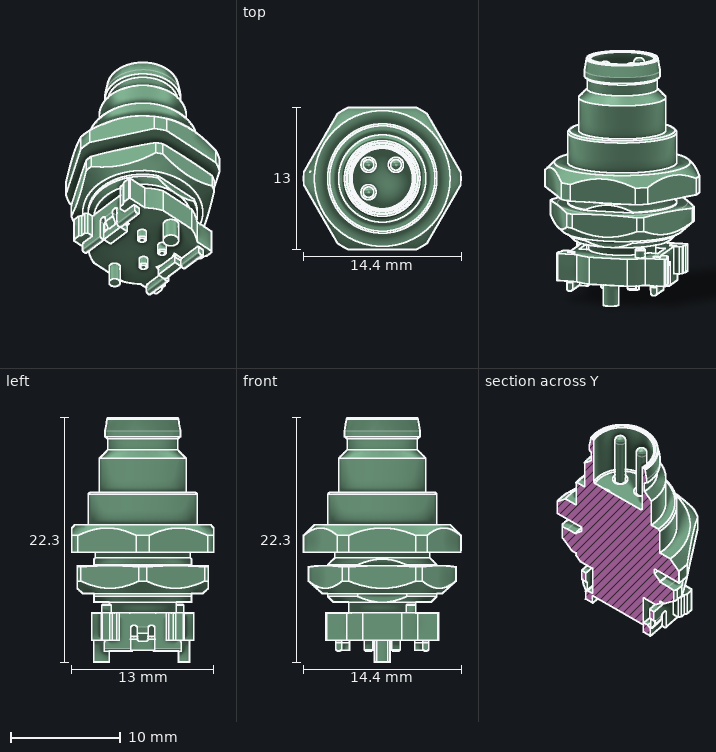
import cadquery as cq
import math

TOP_Z = 22.3
SEAT_Z = 12.55
COLLAR_BOTTOM_Z = 10.01
LIP_R = 3.45
LIP_BOTTOM_Z = 20.58
LIP_TAPER_Z = 21.15
LIP_TAPER_R = 3.28
RIM_R = 3.21
RIM_EDGE = 0.11
GROOVE_TOP_Z = 20.38
BARREL_R = 4.0
BARREL_TOP_Z = 18.6
BARREL_BEVEL = BARREL_R - RIM_R
SHOULDER_TOP_Z = 15.52
SHOULDER_BEVEL = 0.18
THREAD_R = 5.0
THREAD_BOTTOM_Z = 5.49
THREAD_BOTTOM_BEVEL = 0.51
THREAD_TOP_Z = 8.88
RELIEF_R = 4.35
THREAD_FLAT_Y = 4.45

BORE_R = 2.9
BORE_MOUTH_R = 3.03
BORE_MOUTH_DEPTH = 0.1
INSERT_R = 2.77
INSERT_BEVEL_HEIGHT = 0.13
BORE_FLOOR_Z = 16.72
CONTACT_TIP_Z = 22.1
CONTACT_R = 0.5
CONTACT_TIP_ROUND = 0.42
CONTACT_OFFSET = 1.25
CONTACT_SINK_R = 0.7
CONTACT_SINK_DEPTH = 0.13
TAIL_R = 0.4
TAIL_BOTTOM_Z = 1.0
TAIL_CHAMFER = 0.13

COLLAR_FLATS = 13.0
COLLAR_WIDTH = 14.38
COLLAR_CORNER_R = COLLAR_WIDTH / 2
COLLAR_FACE_R = 6.2
NUT_FLATS = 12.0
NUT_CORNER_R = 6.73
NUT_TOP_Z = 8.8
NUT_TOP_FACE_R = 5.93
NUT_TOP_BEVEL = 0.11
NUT_BOTTOM_Z = 6.27
NUT_BOTTOM_FACE_R = 5.49
NUT_BEVEL = 1.14

BASE_TOP_Z = 4.5
BASE_BOTTOM_Z = 1.98
BASE_DISC_R = 5.0
BASE_HALF_Y = 4.65
EAR_X = 5.17
EAR_Y = 3.8
EAR_CHAMFER = 0.11
PANEL_X = 4.25
PANEL_HALF_Y = 2.16
NECK_R = 3.08
BEVEL_START_Y = 3.0
STEP_X = 5.02
STEP_Y = 2.79
STEP_END_Y = 2.39
EAR_LIP_X = 4.82

FOOT_INNER_X = 3.7
FOOT_HALF_Y = 3.52
FOOT_BOTTOM_Z = 1.0
FOOT_ROUND = 0.25
ROOT_HEIGHT = 0.2
ROOT_SLOPE = 0.11
WINDOW_HALF_Y = 1.12
WINDOW_TOP_Z = 3.37
BAY_ROUND = 0.3
LATCH_HALF_Y = 0.5
LATCH_TOP_Z = 3.21
LATCH_BEND_X = 4.2
LATCH_BEND_Z = 2.65
LATCH_BOTTOM_Z = 1.92
LATCH_CORNER = 0.13
TAB_X = 3.81
TAB_INNER_X = 2.97
TAB_BOTTOM_Z = 1.07
TAB_TOP_Z = 2.07
TAB_SLOPE = 0.27
POCKET_X = 3.72
POCKET_INNER_X = 1.55
POCKET_HALF_Y = 1.2
SLOT_X = 4.05
SLOT_Y = 2.72
SLOT_SIZE_X = 0.6
SLOT_SIZE_Y = 0.27
SLOT_DEPTH = 0.11

POST_X = 2.63
POST_Y = 3.3
POST_R = 0.45
POST_TOP_Z = 5.3
POST_CHAMFER = 0.13
PEG_Y = 3.77
WIDE_PEG_R = 0.71
NARROW_PEG_R = 0.51


def cylinder(radius, bottom, top, x=0, y=0):
    """Upright cylinder between two heights."""
    return cq.Workplane("XY", origin=(x, y, bottom)).circle(radius).extrude(top - bottom)


def box(x_range, y_range, z_range):
    """Box from its limits along each axis."""
    size = [high - low for low, high in (x_range, y_range, z_range)]
    corner = (x_range[0], y_range[0], z_range[0])
    return cq.Workplane("XY").box(*size, centered=False).translate(corner)


def revolved(profile):
    """Solid of revolution about Z from (radius, height) points."""
    return cq.Workplane("XZ").polyline(profile).close().revolve(360, (0, 0, 0), (0, 1, 0))


def hexagon(across_flats, bottom, top):
    """Hexagonal prism with two flats facing +Y and -Y."""
    across_corners = across_flats / math.cos(math.radians(30))
    return cq.Workplane("XY", origin=(0, 0, bottom)).polygon(6, across_corners).extrude(top - bottom)


def front_shell():
    """Stepped plug end, from the collar seat up to the rim."""
    return revolved([
        (0, SEAT_Z),
        (THREAD_R, SEAT_Z),
        (THREAD_R, SHOULDER_TOP_Z - SHOULDER_BEVEL),
        (THREAD_R - SHOULDER_BEVEL, SHOULDER_TOP_Z),
        (BARREL_R, SHOULDER_TOP_Z),
        (BARREL_R, BARREL_TOP_Z),
        (RIM_R, BARREL_TOP_Z + BARREL_BEVEL),
        (RIM_R, GROOVE_TOP_Z),
        (LIP_R, LIP_BOTTOM_Z),
        (LIP_R, LIP_TAPER_Z),
        (LIP_TAPER_R, TOP_Z - RIM_EDGE),
        (RIM_R, TOP_Z),
        (0, TOP_Z),
    ])


def socket():
    """Space inside the plug end, with a bevelled mouth and floor edge."""
    return revolved([
        (0, BORE_FLOOR_Z),
        (INSERT_R, BORE_FLOOR_Z),
        (BORE_R, BORE_FLOOR_Z + INSERT_BEVEL_HEIGHT),
        (BORE_R, TOP_Z - BORE_MOUTH_DEPTH),
        (BORE_MOUTH_R, TOP_Z),
        (0, TOP_Z),
    ])


def thread_body():
    """Threaded rear shell with conical ends and two side flats."""
    body = revolved([
        (0, THREAD_BOTTOM_Z),
        (THREAD_R - THREAD_BOTTOM_BEVEL, THREAD_BOTTOM_Z),
        (THREAD_R, THREAD_BOTTOM_Z + THREAD_BOTTOM_BEVEL),
        (THREAD_R, THREAD_TOP_Z),
        (RELIEF_R, THREAD_TOP_Z + THREAD_R - RELIEF_R),
        (RELIEF_R, COLLAR_BOTTOM_Z),
        (0, COLLAR_BOTTOM_Z),
    ])
    between_flats = box(
        (-THREAD_R, THREAD_R),
        (-THREAD_FLAT_Y, THREAD_FLAT_Y),
        (THREAD_BOTTOM_Z, COLLAR_BOTTOM_Z),
    )
    return body.intersect(between_flats)


def collar():
    """Fixed hex collar, bevelled on top."""
    bevel = COLLAR_CORNER_R - COLLAR_FACE_R
    envelope = revolved([
        (0, COLLAR_BOTTOM_Z),
        (COLLAR_CORNER_R, COLLAR_BOTTOM_Z),
        (COLLAR_CORNER_R, SEAT_Z - bevel),
        (COLLAR_FACE_R, SEAT_Z),
        (0, SEAT_Z),
    ])
    return hexagon(COLLAR_FLATS, COLLAR_BOTTOM_Z, SEAT_Z).intersect(envelope)


def nut():
    """Hex nut with a deep bevel below and a slight one above."""
    envelope = revolved([
        (0, NUT_BOTTOM_Z),
        (NUT_BOTTOM_FACE_R, NUT_BOTTOM_Z),
        (NUT_CORNER_R, NUT_BOTTOM_Z + NUT_BEVEL),
        (NUT_CORNER_R, NUT_TOP_Z - NUT_TOP_BEVEL),
        (NUT_TOP_FACE_R, NUT_TOP_Z),
        (0, NUT_TOP_Z),
    ])
    return hexagon(NUT_FLATS, NUT_BOTTOM_Z, NUT_TOP_Z).intersect(envelope)


def base_block():
    """Flatted disc with four stepped corner ears, less the slots on top."""
    height = BASE_TOP_Z - BASE_BOTTOM_Z
    disc = cylinder(BASE_DISC_R, BASE_BOTTOM_Z, BASE_TOP_Z)
    disc = disc.intersect(box(
        (-PANEL_X, PANEL_X),
        (-BASE_HALF_Y, BASE_HALF_Y),
        (BASE_BOTTOM_Z, BASE_TOP_Z),
    ))
    quarter = (
        cq.Workplane("XY", origin=(0, 0, BASE_BOTTOM_Z))
        .polyline([
            (0, 0),
            (PANEL_X, 0),
            (PANEL_X, PANEL_HALF_Y),
            (EAR_LIP_X, PANEL_HALF_Y),
            (STEP_X, STEP_END_Y),
            (STEP_X, STEP_Y),
            (EAR_X, BEVEL_START_Y),
            (EAR_X, EAR_Y - EAR_CHAMFER),
            (EAR_X - EAR_CHAMFER, EAR_Y),
            (0, EAR_Y),
        ])
        .close()
        .extrude(height)
    )
    half = quarter.union(quarter.mirror("XZ"))
    block = disc.union(half).union(half.mirror("YZ"))

    for x in (-SLOT_X, SLOT_X):
        for y in (-SLOT_Y, SLOT_Y):
            slot = cq.Workplane("XY", origin=(x, y, BASE_TOP_Z)).rect(SLOT_SIZE_X, SLOT_SIZE_Y)
            block = block.cut(slot.extrude(-SLOT_DEPTH))
    return block


def left_foot():
    """Rounded foot bar below the left end panel, with ends undercut at the root."""
    root_z = BASE_BOTTOM_Z - ROOT_HEIGHT
    root_y = FOOT_HALF_Y - ROOT_SLOPE
    outline = [
        (-FOOT_HALF_Y, FOOT_BOTTOM_Z),
        (FOOT_HALF_Y, FOOT_BOTTOM_Z),
        (FOOT_HALF_Y, root_z),
        (root_y, BASE_BOTTOM_Z),
        (-root_y, BASE_BOTTOM_Z),
        (-FOOT_HALF_Y, root_z),
    ]
    foot = cq.Workplane("YZ", origin=(-PANEL_X, 0, 0)).polyline(outline).close()
    foot = foot.extrude(PANEL_X - FOOT_INNER_X)
    return foot.faces("<Z").edges("|Y").fillet(FOOT_ROUND)


def left_opening():
    """Window in the left panel, joined to the pocket behind it."""
    depth = (-PANEL_X, -TAB_INNER_X)
    height = (FOOT_BOTTOM_Z, WINDOW_TOP_Z)
    bay = box(depth, (LATCH_HALF_Y, WINDOW_HALF_Y), height)
    bay = bay.faces(">Z").edges("|X").fillet(BAY_ROUND)
    behind_latch = box(depth, (-LATCH_HALF_Y, LATCH_HALF_Y), height)
    window = behind_latch.union(bay).union(bay.mirror("XZ"))
    pocket = box(
        (-POCKET_X, -POCKET_INNER_X),
        (-POCKET_HALF_Y, POCKET_HALF_Y),
        (TAB_TOP_Z, BASE_TOP_Z),
    )
    return window.union(pocket)


def left_tab():
    """Sloped-top tab standing in the window."""
    slope_top_z = TAB_TOP_Z + TAB_SLOPE
    profile = [
        (-TAB_X, TAB_BOTTOM_Z),
        (-TAB_X, TAB_TOP_Z),
        (-TAB_X + TAB_SLOPE, slope_top_z),
        (-TAB_INNER_X, slope_top_z),
        (-TAB_INNER_X, TAB_BOTTOM_Z),
    ]
    tab = cq.Workplane("XZ").polyline(profile).close().extrude(WINDOW_HALF_Y, both=True)

    root_z = BASE_BOTTOM_Z - ROOT_HEIGHT
    root_y = WINDOW_HALF_Y + ROOT_SLOPE
    root_outline = [
        (-WINDOW_HALF_Y, root_z),
        (WINDOW_HALF_Y, root_z),
        (root_y, BASE_BOTTOM_Z),
        (-root_y, BASE_BOTTOM_Z),
    ]
    root = cq.Workplane("YZ", origin=(-FOOT_INNER_X, 0, 0)).polyline(root_outline).close()
    return tab.union(root.extrude(FOOT_INNER_X - TAB_INNER_X))


def left_latch():
    """Latch tongue bent inward from the top of the window to the tab."""
    profile = [
        (-PANEL_X, WINDOW_TOP_Z),
        (-PANEL_X, LATCH_TOP_Z),
        (-LATCH_BEND_X, LATCH_BEND_Z),
        (-TAB_X, LATCH_BOTTOM_Z),
        (-POCKET_X, LATCH_BOTTOM_Z),
        (-POCKET_X, WINDOW_TOP_Z),
    ]
    latch = cq.Workplane("XZ").polyline(profile).close().extrude(LATCH_HALF_Y, both=True)
    return latch.faces("<Z").edges("|X").chamfer(LATCH_CORNER)


def base():
    """Base with matching feet, windows, tabs and latches at both ends."""
    body = base_block()
    foot = left_foot()
    opening = left_opening()
    clip = left_tab().union(left_latch())
    body = body.union(foot).union(foot.mirror("YZ"))
    body = body.cut(opening).cut(opening.mirror("YZ"))
    body = body.union(clip).union(clip.mirror("YZ"))
    return body.union(cylinder(NECK_R, BASE_BOTTOM_Z, THREAD_BOTTOM_Z))


def posts_and_pegs():
    """Two short posts above the base and two round pegs below it."""
    parts = [
        cylinder(POST_R, BASE_BOTTOM_Z, POST_TOP_Z, sign * POST_X, -sign * POST_Y)
        .faces(">Z").chamfer(POST_CHAMFER)
        for sign in (-1, 1)
    ]
    parts.append(cylinder(WIDE_PEG_R, 0, BASE_TOP_Z, 0, PEG_Y))
    parts.append(cylinder(NARROW_PEG_R, 0, BASE_TOP_Z, 0, -PEG_Y))
    return parts


def contact(x, y):
    """Round-tipped contact pin standing on the insert."""
    pin = cylinder(CONTACT_R, BORE_FLOOR_Z - CONTACT_SINK_DEPTH, CONTACT_TIP_Z, x, y)
    return pin.faces(">Z").edges().fillet(CONTACT_TIP_ROUND)


def contact_sink(x, y):
    """Conical recess around a contact where it leaves the insert."""
    cone = cq.Solid.makeCone(
        CONTACT_R,
        CONTACT_SINK_R,
        CONTACT_SINK_DEPTH,
        pnt=cq.Vector(x, y, BORE_FLOOR_Z - CONTACT_SINK_DEPTH),
    )
    return cq.Workplane(cone)


def contact_tail(x, y):
    """Solder tail of a contact below the base."""
    tail = cylinder(TAIL_R, TAIL_BOTTOM_Z, BASE_TOP_Z, x, y)
    return tail.faces("<Z").chamfer(TAIL_CHAMFER)


result = front_shell().cut(socket())
result = result.union(collar()).union(thread_body()).union(nut()).union(base())
for part in posts_and_pegs():
    result = result.union(part)

for x_side, y_side in ((-1, 1), (1, 1), (-1, -1)):
    place = (x_side * CONTACT_OFFSET, y_side * CONTACT_OFFSET)
    result = result.cut(contact_sink(*place))
    result = result.union(contact(*place)).union(contact_tail(*place))